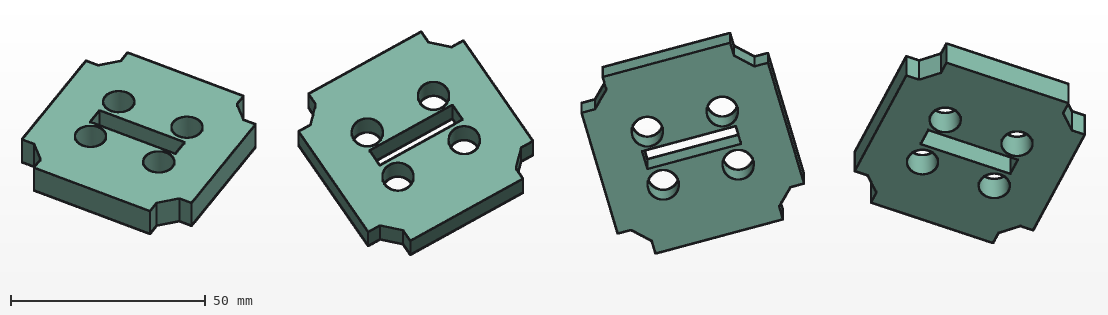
import cadquery as cq

side = 49.8
thickness = 8.0
half_side = side / 2

notch_size = 7.85
step_length = 3.6

hole_diameter = 8.0
hole_spacing_x = 20.0
hole_spacing_y = 15.0

slot_length = 25.0
slot_width = 5.0
slot_offset_x = -0.25
slot_offset_y = -0.25


def corner_notch(sign_x, sign_y):
    """Cutter for the plate corner lying in the given quadrant."""
    outer_to_inner = [
        (0, 0),
        (notch_size, 0),
        (notch_size, step_length),
        (step_length, notch_size),
        (0, notch_size),
    ]
    points = [
        (sign_x * (half_side - inset_x), sign_y * (half_side - inset_y))
        for inset_x, inset_y in outer_to_inner
    ]
    return cq.Workplane("XY").polyline(points).close().extrude(thickness)


plate = cq.Workplane("XY").rect(side, side).extrude(thickness)

for sign_x in (-1, 1):
    for sign_y in (-1, 1):
        plate = plate.cut(corner_notch(sign_x, sign_y))

holes = (
    cq.Workplane("XY")
    .rect(hole_spacing_x, hole_spacing_y, forConstruction=True)
    .vertices()
    .circle(hole_diameter / 2)
    .extrude(thickness)
)

slot = (
    cq.Workplane("XY")
    .center(slot_offset_x, slot_offset_y)
    .rect(slot_length, slot_width)
    .extrude(thickness)
)

result = plate.cut(holes).cut(slot)